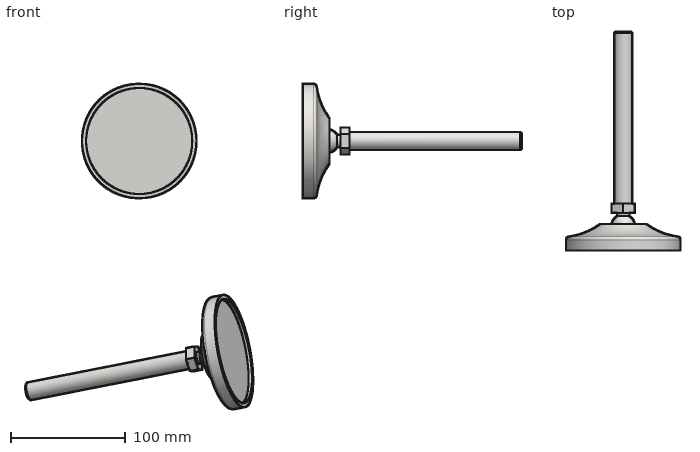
import cadquery as cq
import math

TOTAL_LENGTH = 191.0

BASE_RADIUS = 100.0 / 2
RIM_HEIGHT = 12.1
RIM_ROUND = 3.0
BASE_HEIGHT = 23.4
BASE_TOP_RADIUS = 20.0
FLARE_SAG = 2.25

RECESS_RADIUS = 92.5 / 2
RECESS_DEPTH = 3.0

BALL_RADIUS = 10.5
NECK_RADIUS = 11.0 / 2
BALL_TOP = 30.1

COLLAR_START = 32.9
COLLAR_HEIGHT = 8.0
COLLAR_ACROSS_FLATS = 20.5

STUD_RADIUS = 16.0 / 2
STUD_CHAMFER = 1.5


def cylinder_on_axis(radius, start, end):
    """Cylinder around the Y axis from one height to another."""
    return cq.Workplane("XZ", origin=(0, start, 0)).circle(radius).extrude(start - end)


def make_base():
    """Revolved plate with a concave flare up to a flat top, a rounded rim and a recessed underside."""
    run = BASE_RADIUS - BASE_TOP_RADIUS
    rise = BASE_HEIGHT - RIM_HEIGHT
    chord = math.hypot(run, rise)
    flare_middle = (
        (BASE_RADIUS + BASE_TOP_RADIUS) / 2 - FLARE_SAG * rise / chord,
        (RIM_HEIGHT + BASE_HEIGHT) / 2 - FLARE_SAG * run / chord,
    )
    profile = (
        cq.Workplane("XY")
        .lineTo(BASE_RADIUS, 0)
        .lineTo(BASE_RADIUS, RIM_HEIGHT)
        .threePointArc(flare_middle, (BASE_TOP_RADIUS, BASE_HEIGHT))
        .lineTo(0, BASE_HEIGHT)
        .close()
    )
    base = profile.revolve(360, (0, 0, 0), (0, 1, 0))
    rim_edge = cq.selectors.NearestToPointSelector((0, RIM_HEIGHT, 0))
    base = base.edges("%CIRCLE").edges(rim_edge).fillet(RIM_ROUND)
    return base.cut(cylinder_on_axis(RECESS_RADIUS, 0, RECESS_DEPTH))


def make_ball():
    """Ball seated in the base, placed so that its surface meets the neck at BALL_TOP."""
    center = BALL_TOP - math.sqrt(BALL_RADIUS**2 - NECK_RADIUS**2)
    return cq.Workplane("XY").sphere(BALL_RADIUS).translate((0, center, 0))


def make_collar():
    """Hexagonal collar with two flats facing +X and -X."""
    across_corners = COLLAR_ACROSS_FLATS / math.cos(math.pi / 6)
    collar = cq.Workplane("XZ").polygon(6, across_corners).extrude(-COLLAR_HEIGHT)
    collar = collar.rotate((0, 0, 0), (0, 1, 0), 30)
    return collar.translate((0, COLLAR_START, 0))


def make_stud():
    """Plain stud with a chamfered free end."""
    stud = cylinder_on_axis(STUD_RADIUS, COLLAR_START, TOTAL_LENGTH)
    return stud.faces(">Y").chamfer(STUD_CHAMFER)


neck = cylinder_on_axis(NECK_RADIUS, BASE_HEIGHT, COLLAR_START)

result = make_base().union(make_ball()).union(neck).union(make_collar()).union(make_stud())